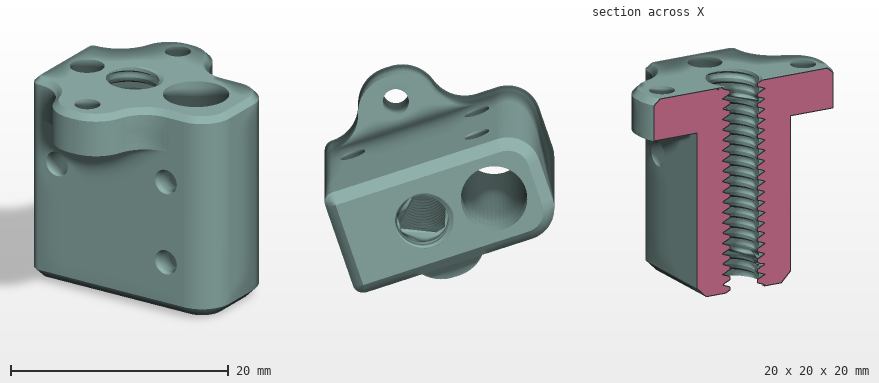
import cadquery as cq
import math

length = 20.0
body_width = 10.0
height = 20.0
left_radius = 1.0
right_radius = 3.0
base_chamfer = 1.0
top_chamfer = 0.55

flange_thickness = 4.0
flange_width = 20.0
lobe_x = 8.0
lobe_radius = 3.5

lobe_hole_diameter = 2.4
lobe_hole_spacing = 15.0
rod_hole_x = 15.0
rod_hole_diameter = 6.1
pocket_x = 3.0
pocket_diameter = 3.2
pocket_depth = 10.0

thread_x = lobe_x
thread_minor_diameter = 4.92
thread_major_diameter = 6.0
thread_pitch = 1.0
thread_groove_half_height = 0.4
thread_overlap = 0.1

side_hole_diameter = 2.4
side_holes = [(pocket_x, 12.0), (rod_hole_x, 5.0), (rod_hole_x, 13.0)]

half_width = body_width / 2
half_flange = flange_width / 2


def make_body():
    """Rounded block flaring out at 45 degrees from its smaller base."""
    base_length = length - 2 * base_chamfer
    base_width = body_width - 2 * base_chamfer
    base_radius = right_radius - base_chamfer
    foot = (
        cq.Workplane("XY")
        .sketch()
        .push([(length / 2, 0)])
        .rect(base_length, base_width)
        .reset()
        .vertices(">X")
        .fillet(base_radius)
        .finalize()
        .extrude(base_chamfer, taper=-45)
    )
    upper = (
        cq.Workplane("XY", origin=(length / 2, 0, base_chamfer))
        .rect(length, body_width)
        .extrude(height - base_chamfer)
        .edges("|Z and <X")
        .fillet(left_radius)
        .edges("|Z and >X")
        .fillet(right_radius)
    )
    return foot.union(upper)


def lobe(side):
    """Flange lobe on one side (+1 or -1), reaching inward to the center plane."""
    rise = half_flange - half_width
    center_distance = 2 * lobe_radius
    blend_offset = math.sqrt(center_distance**2 - (center_distance - rise) ** 2)
    blend_angle = math.asin(blend_offset / center_distance)
    blend_start = left_radius
    blend_end = 2 * lobe_x - blend_start
    flat_start = blend_start + blend_offset
    flat_end = blend_end - blend_offset

    mid_x = lobe_radius * math.sin(blend_angle / 2)
    mid_drop = lobe_radius * (1 - math.cos(blend_angle / 2))
    touch_x = blend_offset / 2
    touch_y = half_width + rise / 2
    low_y = half_width + mid_drop
    high_y = half_flange - mid_drop
    return (
        cq.Workplane("XY", origin=(0, 0, height - flange_thickness))
        .moveTo(blend_start, 0)
        .lineTo(blend_start, side * half_width)
        .threePointArc((blend_start + mid_x, side * low_y), (blend_start + touch_x, side * touch_y))
        .threePointArc((flat_start - mid_x, side * high_y), (flat_start, side * half_flange))
        .lineTo(flat_end, side * half_flange)
        .threePointArc((flat_end + mid_x, side * high_y), (flat_end + touch_x, side * touch_y))
        .threePointArc((blend_end - mid_x, side * low_y), (blend_end, side * half_width))
        .lineTo(blend_end, 0)
        .close()
        .extrude(flange_thickness)
    )


def vertical_hole(x, y, diameter, depth=height):
    return cq.Workplane("XY", origin=(x, y, height - depth)).circle(diameter / 2).extrude(depth)


def side_hole(x, z):
    """Horizontal hole from the front face to the center plane."""
    return cq.Workplane("XZ", origin=(x, 0, z)).circle(side_hole_diameter / 2).extrude(half_width)


def thread_groove():
    """Helical V groove running past both ends of the threaded hole."""
    inner_radius = thread_minor_diameter / 2 - thread_overlap
    start_z = -thread_pitch
    helix = cq.Wire.makeHelix(thread_pitch, height + 2 * thread_pitch, inner_radius)
    groove = (
        cq.Workplane("XZ")
        .moveTo(inner_radius, -thread_groove_half_height)
        .lineTo(thread_major_diameter / 2, 0)
        .lineTo(inner_radius, thread_groove_half_height)
        .close()
        .sweep(cq.Workplane(obj=helix), isFrenet=True)
    )
    return groove.translate((thread_x, 0, start_z))


result = make_body().union(lobe(1)).union(lobe(-1)).clean()
result = result.faces(">Z").chamfer(top_chamfer)

for hole_y in (-lobe_hole_spacing / 2, lobe_hole_spacing / 2):
    result = result.cut(vertical_hole(lobe_x, hole_y, lobe_hole_diameter))
result = result.cut(vertical_hole(rod_hole_x, 0, rod_hole_diameter))
result = result.cut(vertical_hole(pocket_x, 0, pocket_diameter, pocket_depth))
for hole_x, hole_z in side_holes:
    result = result.cut(side_hole(hole_x, hole_z))

result = result.cut(thread_groove())
result = result.cut(vertical_hole(thread_x, 0, thread_minor_diameter))